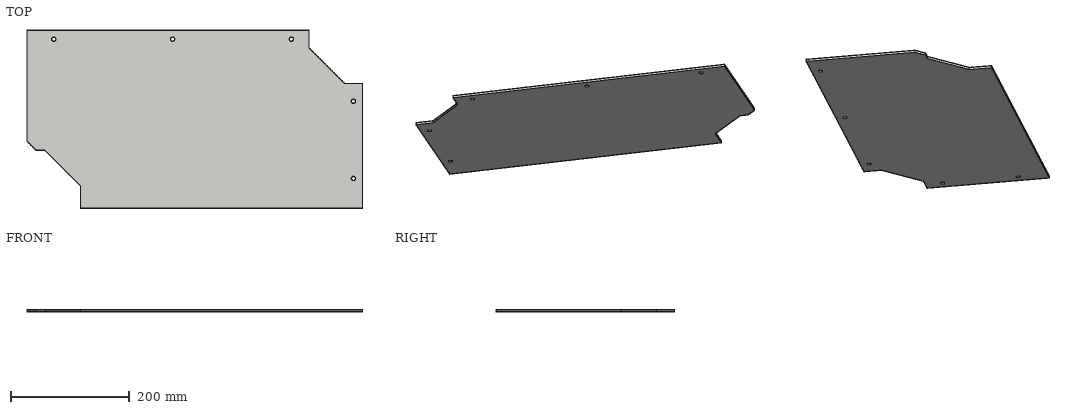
import cadquery as cq

length = 565.0
width = 300.0
thickness = 4.0

notch = 90.0
upper_step = 30.0

lower_notch_height = 98.0
lower_notch_slope = 60.0
bevel = 15.0

hole_diameter = 7.0
hole_edge_distance = 15.0
top_hole_start = 45.0
top_hole_spacing = 200.0
top_hole_count = 3
right_hole_start = 50.5
right_hole_spacing = 130.0
right_hole_count = 2

outline = [
    (notch, 0),
    (length, 0),
    (length, width - notch),
    (length - upper_step, width - notch),
    (length - notch, width - upper_step),
    (length - notch, width),
    (0, width),
    (0, lower_notch_height + bevel),
    (bevel, lower_notch_height),
    (notch - lower_notch_slope, lower_notch_height),
    (notch, lower_notch_height - lower_notch_slope),
]

top_holes = [
    (top_hole_start + i * top_hole_spacing, width - hole_edge_distance)
    for i in range(top_hole_count)
]
right_holes = [
    (length - hole_edge_distance, right_hole_start + i * right_hole_spacing)
    for i in range(right_hole_count)
]

plate = cq.Workplane("XY").polyline(outline).close().extrude(thickness)
holes = (
    cq.Workplane("XY")
    .pushPoints(top_holes + right_holes)
    .circle(hole_diameter / 2)
    .extrude(thickness)
)
result = plate.cut(holes)